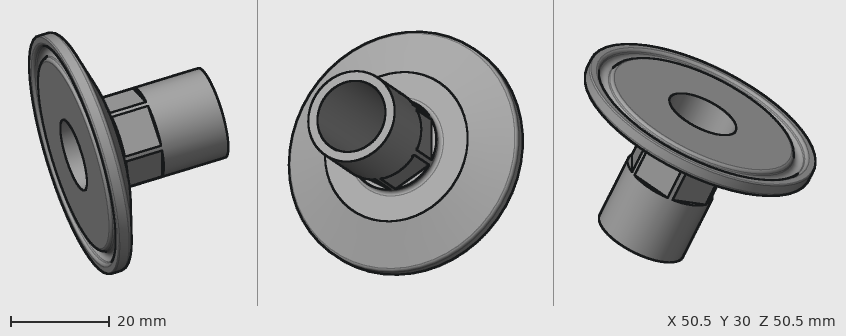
import cadquery as cq
import math


flange_radius = 25.25
rim_height = 2.9
cone_angle = math.radians(20)
shoulder_height = 6.35
rim_back_round = 0.85
rim_front_round = 0.25

tube_radius = 9.5
bore_radius = 7.45
total_length = 30.0
root_fillet = 0.85

flat_count = 6
flats_across = 16.95
flats_start = 8.1
flats_end = 15.95

groove_radius = 21.75
groove_half_width = 1.95
lip_round = 0.8
floor_round = 1.15
wall_angle = math.radians(20)


def turn(profile):
    """Revolve an XY profile about the Y axis."""
    return profile.close().revolve(360, (0, 0, 0), (0, 1, 0))


def make_body():
    shoulder_radius = flange_radius - (shoulder_height - rim_height) / math.tan(cone_angle)
    rim_tangent = rim_back_round * math.tan((math.pi / 2 - cone_angle) / 2)
    round_center_x = flange_radius - rim_back_round
    round_center_y = rim_height - rim_tangent
    round_middle_angle = (math.pi / 2 - cone_angle) / 2
    round_middle = (
        round_center_x + rim_back_round * math.cos(round_middle_angle),
        round_center_y + rim_back_round * math.sin(round_middle_angle),
    )
    round_end = (
        flange_radius - rim_tangent * math.cos(cone_angle),
        rim_height + rim_tangent * math.sin(cone_angle),
    )
    return turn(
        cq.Workplane("XY")
        .moveTo(bore_radius, 0)
        .lineTo(flange_radius - rim_front_round, 0)
        .radiusArc((flange_radius, rim_front_round), -rim_front_round)
        .lineTo(flange_radius, round_center_y)
        .threePointArc(round_middle, round_end)
        .lineTo(shoulder_radius, shoulder_height)
        .lineTo(tube_radius + root_fillet, shoulder_height)
        .radiusArc((tube_radius, shoulder_height + root_fillet), root_fillet)
        .lineTo(tube_radius, total_length)
        .lineTo(bore_radius, total_length)
    )


def make_groove():
    """Ring with rounded lips, tilted walls and a round floor."""
    lip_end_x = groove_half_width - lip_round * math.cos(wall_angle)
    lip_end_y = lip_round * (1 - math.sin(wall_angle))
    lip_middle_angle = (math.pi / 2 + wall_angle) / 2
    lip_middle_x = groove_half_width - lip_round * math.cos(lip_middle_angle)
    lip_middle_y = lip_round * (1 - math.sin(lip_middle_angle))
    floor_start_x = floor_round * math.cos(wall_angle)
    floor_start_y = lip_end_y + (lip_end_x - floor_start_x) / math.tan(wall_angle)
    depth = floor_start_y + floor_round * (1 - math.sin(wall_angle))
    return turn(
        cq.Workplane("XY")
        .moveTo(groove_radius - groove_half_width, 0)
        .threePointArc(
            (groove_radius - lip_middle_x, lip_middle_y),
            (groove_radius - lip_end_x, lip_end_y),
        )
        .lineTo(groove_radius - floor_start_x, floor_start_y)
        .threePointArc((groove_radius, depth), (groove_radius + floor_start_x, floor_start_y))
        .lineTo(groove_radius + lip_end_x, lip_end_y)
        .threePointArc(
            (groove_radius + lip_middle_x, lip_middle_y),
            (groove_radius + groove_half_width, 0),
        )
    )


def cut_wrench_flats(body):
    """Cut equally spaced flats, the first one facing +X."""
    flat_length = flats_end - flats_start
    cutter = cq.Workplane("XY").box(
        tube_radius, flat_length, 2 * tube_radius, centered=(False, False, True)
    ).translate((flats_across / 2, flats_start, 0))
    for index in range(flat_count):
        angle = index * 360 / flat_count
        body = body.cut(cutter.rotate((0, 0, 0), (0, 1, 0), angle))
    return body


result = cut_wrench_flats(make_body().cut(make_groove()))